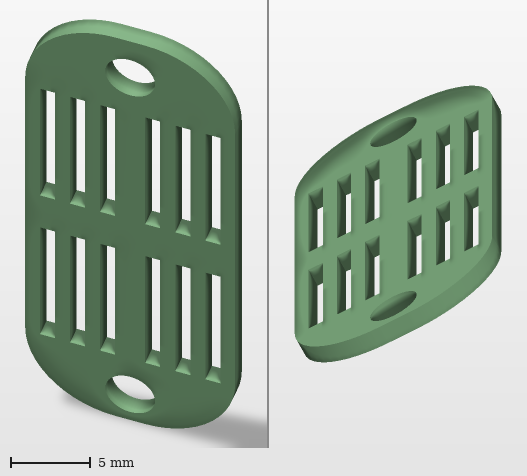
import cadquery as cq

height = 35.5
width = 14.0
thickness = 1.2
corner_radius = 6.0

pattern_z = -0.5

hole_diameter = 3.3
hole_spacing = 29.7

slot_length = 10.0
slot_width = slot_length / 10
row_gap = 3 * slot_width
column_pitch = 2 * slot_width
first_column_x = 1.5 * slot_width
columns_per_side = 3

row_offset = (slot_length + row_gap) / 2


def make_plate():
    block = cq.Workplane("XY").box(width, thickness, height)
    return block.edges("|Y").fillet(corner_radius)


def cut_holes(plate):
    centres = [(0, pattern_z + side * hole_spacing / 2) for side in (-1, 1)]
    sketch = plate.copyWorkplane(cq.Workplane("XZ")).pushPoints(centres)
    return sketch.circle(hole_diameter / 2).cutThruAll()


def cut_slots(plate):
    centres = [
        (side * (first_column_x + column * column_pitch), pattern_z + row * row_offset)
        for side in (-1, 1)
        for column in range(columns_per_side)
        for row in (-1, 1)
    ]
    sketch = plate.copyWorkplane(cq.Workplane("XZ")).pushPoints(centres)
    return sketch.rect(slot_width, slot_length).cutThruAll()


result = cut_slots(cut_holes(make_plate()))